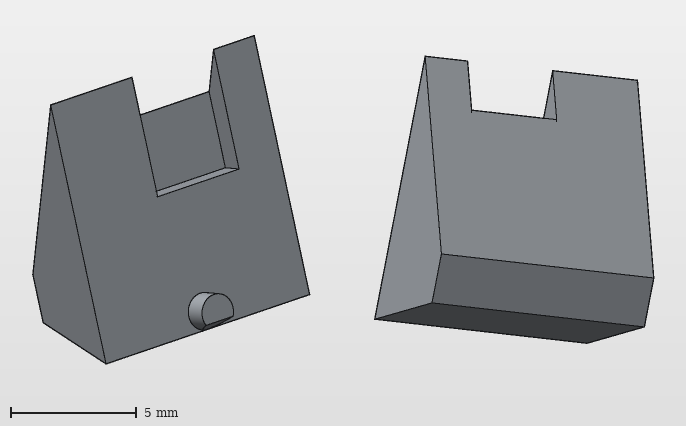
import cadquery as cq
import math

height = 10.07
width = 10.0
apex_x = 1.22
shoulder_z = 1.87
base_left_x = 0.7
base_right_x = 4.99

recess_width = 4.0
recess_depth = 1.0
recess_side_margin = 2.0
recess_length = 4.96

pin_diameter = 1.5
pin_length = 1.0
pin_tip_height = 1.1
flat_start = 0.01

slope_length = math.hypot(base_right_x - apex_x, height)
slope_tilt = math.atan2(base_right_x - apex_x, height)


def slope_plane():
    """Plane on the sloped face: origin at its foot, local x along Y, local y up the slope."""
    return cq.Plane(
        origin=(base_right_x, 0, 0),
        xDir=(0, 1, 0),
        normal=(math.cos(slope_tilt), 0, math.sin(slope_tilt)),
    )


def make_wedge():
    outline = [
        (base_left_x, 0),
        (base_right_x, 0),
        (apex_x, height),
        (0, shoulder_z),
    ]
    return cq.Workplane("XZ").polyline(outline).close().extrude(width / 2, both=True)


def make_recess():
    center_y = width / 2 - recess_side_margin - recess_width / 2
    return (
        cq.Workplane(slope_plane())
        .center(center_y, slope_length - recess_length / 2)
        .rect(recess_width, recess_length)
        .extrude(-recess_depth)
    )


def make_pin():
    pin = (
        cq.Workplane(slope_plane())
        .center(0, pin_diameter / 2)
        .circle(pin_diameter / 2)
        .extrude(pin_length)
    )
    slope = slope_plane()
    side_plane = cq.Plane(origin=slope.origin, xDir=slope.zDir, normal=(0, -1, 0))
    waste_outline = [
        (0, 0),
        (pin_length, 0),
        (pin_length, pin_diameter - pin_tip_height),
        (0, flat_start),
    ]
    waste = cq.Workplane(side_plane).polyline(waste_outline).close().extrude(pin_diameter / 2, both=True)
    return pin.cut(waste)


result = make_wedge().cut(make_recess()).union(make_pin())